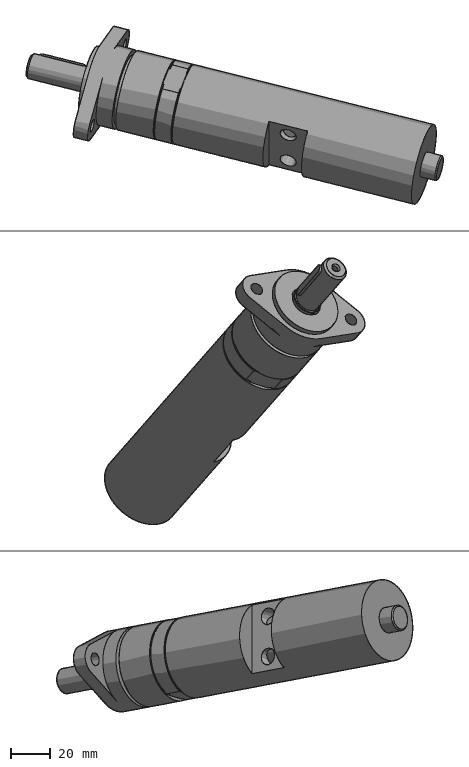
import cadquery as cq

TOTAL_LENGTH = 217.5

SHAFT_DIAMETER = 13.0
TIP_CHAMFER = 1.0
REAR_CHAMFER = 0.7
CENTRE_BORE_DIAMETER = 3.3
CENTRE_BORE_DEPTH = 6.5
CENTRE_SINK_DIAMETER = 4.5
CENTRE_SINK_DEPTH = 1.0

COLLAR_DIAMETER = 15.0
COLLAR_START = 30.2
COLLAR_LENGTH = 0.5
COLLAR_NECK_DIAMETER = 14.1
RECESS_DIAMETER = 16.0
RECESS_DEPTH = 1.0

KEY_START = 3.0
KEY_END = 27.8
KEY_WIDTH = 4.4
KEY_TOP = 7.6

SPIGOT_DIAMETER = 36.0
SPIGOT_START = 31.8
FLANGE_START = 34.4
FLANGE_END = 42.0
FLANGE_WIDTH = 70.0
LUG_RADIUS = 8.0
LUG_OFFSET = FLANGE_WIDTH / 2 - LUG_RADIUS
LUG_HOLE_DIAMETER = 6.5

BODY_DIAMETER = 41.5
BODY_RADIUS = BODY_DIAMETER / 2
BODY_END = 209.0
GROOVE_START = 50.5
GROOVE_WIDTH = 2.0
GROOVE_DIAMETER = 36.0

SPANNER_START = 72.2
SPANNER_END = 82.2
SPANNER_HALF_HEIGHT = 19.1
SPANNER_GROOVE_WIDTH = 0.7
SPANNER_GROOVE_DIAMETER = 39.5

PORT_FACE_START = 130.3
PORT_FACE_END = 150.7
PORT_FACE_Y = -10.7
PORT_DIAMETER = 8.5
PORT_OFFSET = 10.5
PORT_FLOOR_RADIUS = 14.8
PORT_FLOOR_AXIS_Y = 5.2


def cylinder(diameter, start, end):
    """Round bar on the X axis between two X positions."""
    return cq.Workplane("YZ", origin=(start, 0, 0)).circle(diameter / 2).extrude(end - start)


def slab(start, end, y_limits, z_limits):
    """Block between limits along X, Y and Z."""
    size = (end - start, y_limits[1] - y_limits[0], z_limits[1] - z_limits[0])
    corner = cq.Vector(start, y_limits[0], z_limits[0])
    return cq.Workplane("XY").box(*size, centered=False).translate(corner)


def make_flange():
    """Diamond plate: the body circle joined by tangent lines to a lug on each side."""
    lean = (BODY_RADIUS - LUG_RADIUS) / LUG_OFFSET
    rise = (1 - lean**2) ** 0.5
    body_y = BODY_RADIUS * lean
    body_z = BODY_RADIUS * rise
    lug_y = LUG_OFFSET + LUG_RADIUS * lean
    lug_z = LUG_RADIUS * rise
    lug_tip = LUG_OFFSET + LUG_RADIUS
    plate = (
        cq.Workplane("YZ", origin=(FLANGE_START, 0, 0))
        .moveTo(-body_y, body_z)
        .threePointArc((0, BODY_RADIUS), (body_y, body_z))
        .lineTo(lug_y, lug_z)
        .threePointArc((lug_tip, 0), (lug_y, -lug_z))
        .lineTo(body_y, -body_z)
        .threePointArc((0, -BODY_RADIUS), (-body_y, -body_z))
        .lineTo(-lug_y, -lug_z)
        .threePointArc((-lug_tip, 0), (-lug_y, lug_z))
        .close()
        .extrude(FLANGE_END - FLANGE_START)
    )
    holes = (
        cq.Workplane("YZ", origin=(FLANGE_START, 0, 0))
        .pushPoints([(-LUG_OFFSET, 0), (LUG_OFFSET, 0)])
        .circle(LUG_HOLE_DIAMETER / 2)
        .extrude(FLANGE_END - FLANGE_START)
    )
    return plate.cut(holes)


def make_key():
    """Round-ended key reaching from the shaft axis to its top face."""
    return (
        cq.Workplane("XZ", origin=((KEY_START + KEY_END) / 2, 0, 0))
        .slot2D(KEY_END - KEY_START, KEY_WIDTH)
        .extrude(-KEY_TOP)
    )


def make_centre_bore():
    """Countersunk bore on the shaft tip, ending in a 90 degree drill point."""
    bore_radius = CENTRE_BORE_DIAMETER / 2
    outline = [
        (0, 0),
        (0, CENTRE_SINK_DIAMETER / 2),
        (CENTRE_SINK_DEPTH, bore_radius),
        (CENTRE_BORE_DEPTH, bore_radius),
        (CENTRE_BORE_DEPTH + bore_radius, 0),
    ]
    return cq.Workplane("XY").polyline(outline).close().revolve(360, (0, 0, 0), (1, 0, 0))


def make_shaft():
    """Shaft through the whole part, with chamfered ends, key, collar and centre bore."""
    shaft = cylinder(SHAFT_DIAMETER, 0, TOTAL_LENGTH)
    shaft = shaft.faces("<X").chamfer(TIP_CHAMFER)
    shaft = shaft.faces(">X").chamfer(REAR_CHAMFER)
    collar = cylinder(COLLAR_DIAMETER, COLLAR_START, COLLAR_START + COLLAR_LENGTH)
    neck = cylinder(COLLAR_NECK_DIAMETER, COLLAR_START, FLANGE_START)
    return shaft.union(collar).union(neck).union(make_key()).cut(make_centre_bore())


def cut_spanner_section(body):
    """Cut the end grooves and the flats on the +Z and -Z sides."""
    for start in (SPANNER_START, SPANNER_END - SPANNER_GROOVE_WIDTH):
        end = start + SPANNER_GROOVE_WIDTH
        ring = cylinder(BODY_DIAMETER, start, end).cut(cylinder(SPANNER_GROOVE_DIAMETER, start, end))
        body = body.cut(ring)
    across = (-BODY_RADIUS, BODY_RADIUS)
    for z_limits in ((SPANNER_HALF_HEIGHT, BODY_RADIUS), (-BODY_RADIUS, -SPANNER_HALF_HEIGHT)):
        body = body.cut(slab(SPANNER_START, SPANNER_END, across, z_limits))
    return body


def cut_ports(body):
    """Cut the flat port face and its two ports."""
    across = (-BODY_RADIUS, BODY_RADIUS)
    body = body.cut(slab(PORT_FACE_START, PORT_FACE_END, (-BODY_RADIUS, PORT_FACE_Y), across))
    middle = (PORT_FACE_START + PORT_FACE_END) / 2
    ports = (
        cq.Workplane("XZ", origin=(middle, PORT_FACE_Y, 0))
        .pushPoints([(0, PORT_OFFSET), (0, -PORT_OFFSET)])
        .circle(PORT_DIAMETER / 2)
        .extrude(PORT_FACE_Y - PORT_FLOOR_AXIS_Y)
    )
    floor = cylinder(2 * PORT_FLOOR_RADIUS, PORT_FACE_START, PORT_FACE_END)
    return body.cut(ports.cut(floor.translate((0, PORT_FLOOR_AXIS_Y, 0))))


def make_body():
    """Housing: flange, spigot and the long cylinder with its grooves, flats and ports."""
    groove_end = GROOVE_START + GROOVE_WIDTH
    body = cylinder(BODY_DIAMETER, FLANGE_START, GROOVE_START)
    body = body.union(cylinder(GROOVE_DIAMETER, GROOVE_START, groove_end))
    body = body.union(cylinder(BODY_DIAMETER, groove_end, BODY_END))
    body = body.union(make_flange())
    body = cut_ports(cut_spanner_section(body))
    spigot = cylinder(SPIGOT_DIAMETER, SPIGOT_START, FLANGE_START)
    recess = cylinder(RECESS_DIAMETER, SPIGOT_START, SPIGOT_START + RECESS_DEPTH)
    return body.union(spigot.cut(recess))


result = make_body().union(make_shaft())